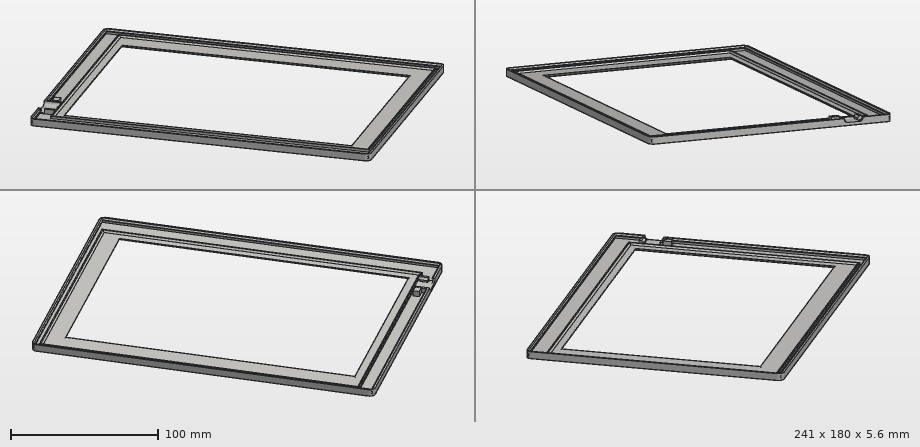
import cadquery as cq
import math

LENGTH = 241.0
WIDTH = 180.0
BODY_HEIGHT = 5.0
CORNER_RADIUS = 4.0

RIM_WIDTH = 1.4
LIP_REACH = 1.0
LIP_TIP_Z = BODY_HEIGHT - LIP_REACH
LIP_FOOT_Z = LIP_TIP_Z - LIP_REACH
LEDGE_Z = 1.5
RIM_INNER_LEFT = -LENGTH / 2 + RIM_WIDTH

RIDGE_LEFT = -109.3
RIDGE_RIGHT = 116.0
RIDGE_FRONT = -76.8
RIDGE_BACK = 85.4
RIDGE_TOP_WIDTH = 0.9
RIDGE_TOP_Z = 3.2
PLATE_TOP_Z = 2.0

WINDOW_LENGTH = 203.2
WINDOW_WIDTH = 139.2
WINDOW_LAND = 0.1

BLOCK_FRONT = -69.55
BLOCK_BACK = -53.1

HOLLOW_FRONT = -68.25
HOLLOW_BACK = -54.7
HOLLOW_RADIUS = 2.5
HOLLOW_FLOOR_Z = 2.2

WEDGE_LEFT = -115.9
WEDGE_BACK = -66.3
WEDGE_CHAMFER = 1.5

TAB_LEFT = -115.2
TAB_RIGHT = -110.9
TAB_BACK = -47.2
TAB_TOP_Z = 5.6


def box_between(x_range, y_range, z_range):
    """Box given by its lowest and highest X, Y and Z."""
    lows, highs = zip(x_range, y_range, z_range)
    sizes = [high - low for low, high in zip(lows, highs)]
    return cq.Workplane("XY").box(*sizes, centered=False).translate(lows)


def inset_box(inset, z_range):
    """Box whose sides lie a given distance inside the outer sides of the body."""
    half_length = LENGTH / 2 - inset
    half_width = WIDTH / 2 - inset
    return box_between((-half_length, half_length), (-half_width, half_width), z_range)


def bevel_block(length, width, z_start, z_end, center=(0, 0)):
    """Rectangle at z_start, drawn in at 45 degrees on every side up or down to z_end."""
    start = cq.Workplane("XY", origin=(*center, z_start)).rect(length, width)
    return start.extrude(z_end - z_start, taper=45)


def make_rim():
    """Body hollowed down to the ledge, leaving the rim and its snap lip."""
    body = cq.Workplane("XY").box(LENGTH, WIDTH, BODY_HEIGHT, centered=(True, True, False))
    body = body.edges("|Z").fillet(CORNER_RADIUS)
    inner_length = LENGTH - 2 * RIM_WIDTH
    inner_width = WIDTH - 2 * RIM_WIDTH
    opening = inset_box(RIM_WIDTH + LIP_REACH, (LEDGE_Z, BODY_HEIGHT))
    opening = opening.union(inset_box(RIM_WIDTH, (LEDGE_Z, LIP_FOOT_Z)))
    opening = opening.union(bevel_block(inner_length, inner_width, LIP_FOOT_Z, LIP_TIP_Z))
    opening = opening.union(bevel_block(inner_length, inner_width, BODY_HEIGHT, LIP_TIP_Z))
    return body.cut(opening)


def add_ridge(frame):
    """Ridge with the sloped recess inside it."""
    ridge = box_between(
        (RIDGE_LEFT, RIDGE_RIGHT), (RIDGE_FRONT, RIDGE_BACK), (LEDGE_Z, RIDGE_TOP_Z)
    )
    center = ((RIDGE_LEFT + RIDGE_RIGHT) / 2, (RIDGE_FRONT + RIDGE_BACK) / 2)
    recess = bevel_block(
        RIDGE_RIGHT - RIDGE_LEFT - 2 * RIDGE_TOP_WIDTH,
        RIDGE_BACK - RIDGE_FRONT - 2 * RIDGE_TOP_WIDTH,
        RIDGE_TOP_Z,
        PLATE_TOP_Z,
        center,
    )
    return frame.union(ridge).cut(recess)


def cut_window(frame):
    """Window with its underside opened out at 45 degrees."""
    undercut = PLATE_TOP_Z - WINDOW_LAND
    window = cq.Workplane("XY").rect(WINDOW_LENGTH, WINDOW_WIDTH).extrude(BODY_HEIGHT)
    flare = bevel_block(WINDOW_LENGTH + 2 * undercut, WINDOW_WIDTH + 2 * undercut, 0, undercut)
    return frame.cut(window).cut(flare)


def add_latch_block(frame):
    """Block that bridges the rim and the ridge, hollowed out with an opening through the rim."""
    block_x = (RIM_INNER_LEFT, RIDGE_LEFT)
    frame = frame.union(box_between(block_x, (BLOCK_FRONT, BLOCK_BACK), (LEDGE_Z, BODY_HEIGHT)))

    slot = box_between(
        (-LENGTH / 2, RIDGE_LEFT),
        (HOLLOW_FRONT, HOLLOW_BACK),
        (HOLLOW_FLOOR_Z, BODY_HEIGHT + HOLLOW_RADIUS),
    )
    slot = slot.edges("|X and <Z").fillet(HOLLOW_RADIUS)
    hollow_middle = (HOLLOW_FRONT + HOLLOW_BACK) / 2
    open_front = box_between(
        block_x, (BLOCK_FRONT, hollow_middle), (HOLLOW_FLOOR_Z, BODY_HEIGHT)
    )
    return frame.cut(slot).cut(open_front)


def add_hollow_fillet(frame):
    """Concave fillet from the hollow's floor up to the top edge of the ridge."""
    rise = RIDGE_TOP_Z - HOLLOW_FLOOR_Z
    run = math.sqrt(HOLLOW_RADIUS**2 - (HOLLOW_RADIUS - rise) ** 2)
    fillet_left = RIDGE_LEFT - run
    strip = box_between(
        (fillet_left, RIDGE_LEFT), (WEDGE_BACK, HOLLOW_BACK), (HOLLOW_FLOOR_Z, RIDGE_TOP_Z)
    )
    arc_center = (fillet_left, HOLLOW_BACK, HOLLOW_FLOOR_Z + HOLLOW_RADIUS)
    round_cut = cq.Workplane("XZ", origin=arc_center).circle(HOLLOW_RADIUS)
    return frame.union(strip.cut(round_cut.extrude(HOLLOW_BACK - WEDGE_BACK)))


def add_wedge(frame):
    """Full-height stop with a large chamfer facing the hollow."""
    wedge = box_between(
        (WEDGE_LEFT, RIDGE_LEFT), (BLOCK_FRONT, WEDGE_BACK), (HOLLOW_FLOOR_Z, BODY_HEIGHT)
    )
    return frame.union(wedge.edges(">Y and >Z").chamfer(WEDGE_CHAMFER))


def add_tab(frame):
    """Tab against the back of the latch block."""
    tab = box_between((TAB_LEFT, TAB_RIGHT), (BLOCK_BACK, TAB_BACK), (LEDGE_Z, TAB_TOP_Z))
    return frame.union(tab)


frame = add_ridge(make_rim())
frame = cut_window(frame)
frame = add_latch_block(frame)
frame = add_hollow_fillet(frame)
frame = add_wedge(frame)
result = add_tab(frame)